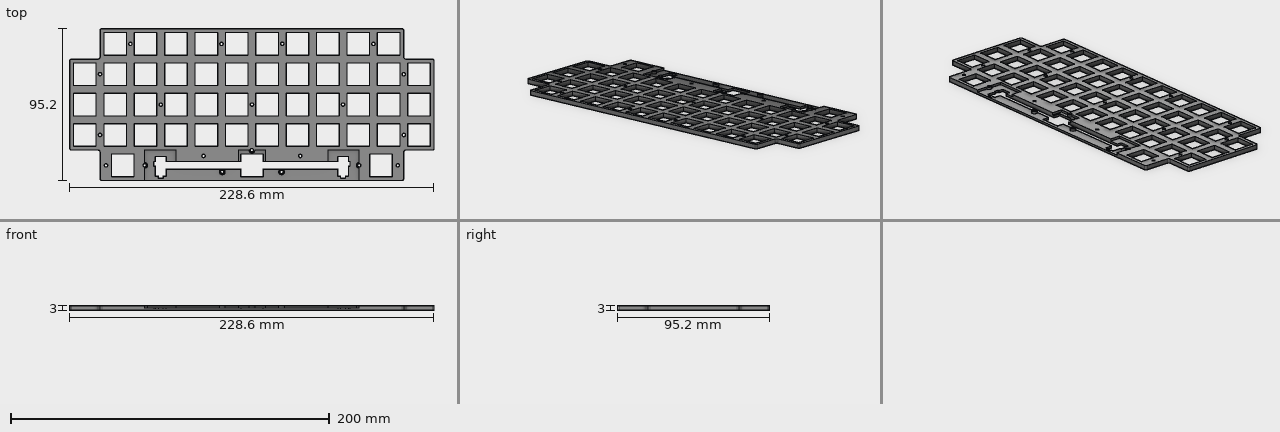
import cadquery as cq

KEY_PITCH = 19.05
PLATE_THICKNESS = 3.0
PLATE_COLUMNS = 12
NARROW_COLUMNS = 10
PLATE_ROWS = 5
WIDE_ROWS = 3
OUTER_CORNER_RADIUS = 1.2
INNER_CORNER_RADIUS = 1.3
EDGE_MARGIN = 0.1

PLATE_WIDTH = PLATE_COLUMNS * KEY_PITCH
NARROW_WIDTH = NARROW_COLUMNS * KEY_PITCH
PLATE_DEPTH = PLATE_ROWS * KEY_PITCH
WIDE_DEPTH = WIDE_ROWS * KEY_PITCH
FRONT_EDGE_Y = -PLATE_DEPTH / 2

SWITCH_SIZE = 14.0
SWITCH_ROWS = (2, 1, 0, -1)
BOTTOM_ROW_Y = -2 * KEY_PITCH
BOTTOM_SWITCH_X = 4.25 * KEY_PITCH

STABILIZER_X = 3 * KEY_PITCH
STABILIZER_WIDTH = 6.65
STABILIZER_TOP = 5.53
STABILIZER_BOTTOM = -6.77
FOOT_NOTCH_WIDTH = 3.05
FOOT_NOTCH_BOTTOM = -7.97
SIDE_NOTCH_REACH = 4.25
SIDE_NOTCH_BOTTOM = -0.5
WIRE_SLOT_TOP = 2.3
WIRE_SLOT_BOTTOM = -2.3

RECESS_FLOOR_Z = 1.5
RECESS_HALF_WIDTH = 67.25
RECESS_SIDE_INNER_X = 2.5 * KEY_PITCH
RECESS_BACK_Y = -1.5 * KEY_PITCH
RECESS_CENTER_HALF_WIDTH = 8.5

HOLE_DIAMETER = 2.0
BOSS_DIAMETER = 3.6
END_HOLE_X = 91.5
INNER_HOLE_X = 30.3
INNER_HOLE_Y = -32.2
FRONT_BOSS_X = 18.6
FRONT_BOSS_Y = BOTTOM_ROW_Y + WIRE_SLOT_BOTTOM - BOSS_DIAMETER / 2
BACK_BOSS_Y = RECESS_BACK_Y

GRID_HOLES = [(4, 2), (1, 2), (5, 1), (3, 0), (5, -1)]

BOSS_CENTERS = [
    (0, BACK_BOSS_Y),
    (-FRONT_BOSS_X, FRONT_BOSS_Y),
    (FRONT_BOSS_X, FRONT_BOSS_Y),
    (-RECESS_HALF_WIDTH, BOTTOM_ROW_Y),
    (RECESS_HALF_WIDTH, BOTTOM_ROW_Y),
]


def block(x_min, x_max, y_min, y_max, z_min=0.0):
    """Box between the given limits, reaching up to the top face."""
    size = (x_max - x_min, y_max - y_min, PLATE_THICKNESS - z_min)
    return cq.Workplane("XY").box(*size, centered=False).translate((x_min, y_min, z_min))


def cylinders(diameter, centers):
    """Upright cylinders through the full plate thickness."""
    return cq.Workplane("XY").pushPoints(centers).circle(diameter / 2).extrude(PLATE_THICKNESS)


def rounded_slab(width, depth):
    """Rectangular slab with rounded corners."""
    slab = cq.Workplane("XY").rect(width, depth).extrude(PLATE_THICKNESS)
    return slab.edges("|Z").fillet(OUTER_CORNER_RADIUS)


def plate_blank():
    """Cross-shaped plate with rounded outer corners and rounded inner corners where its arms meet."""
    cross = rounded_slab(PLATE_WIDTH, WIDE_DEPTH).union(rounded_slab(NARROW_WIDTH, PLATE_DEPTH))
    arm_corners = cq.selectors.BoxSelector(
        (-NARROW_WIDTH / 2 - EDGE_MARGIN, -WIDE_DEPTH / 2 - EDGE_MARGIN, 0),
        (NARROW_WIDTH / 2 + EDGE_MARGIN, WIDE_DEPTH / 2 + EDGE_MARGIN, PLATE_THICKNESS),
    )
    return cross.edges("|Z").edges(arm_corners).fillet(INNER_CORNER_RADIUS)


def switch_openings():
    """Square openings: four full rows, plus three in the bottom row."""
    centers = [(0, BOTTOM_ROW_Y), (-BOTTOM_SWITCH_X, BOTTOM_ROW_Y), (BOTTOM_SWITCH_X, BOTTOM_ROW_Y)]
    for row in SWITCH_ROWS:
        columns = PLATE_COLUMNS if abs(row) <= WIDE_ROWS // 2 else NARROW_COLUMNS
        for column in range(columns):
            x = (column - (columns - 1) / 2) * KEY_PITCH
            centers.append((x, row * KEY_PITCH))
    return cq.Workplane("XY").pushPoints(centers).rect(SWITCH_SIZE, SWITCH_SIZE).extrude(PLATE_THICKNESS)


def recess():
    """Shallow pocket along the wire slot, with three bays that reach further back."""
    slot_top_y = BOTTOM_ROW_Y + WIRE_SLOT_TOP
    floor_z = RECESS_FLOOR_Z
    pocket = block(-RECESS_HALF_WIDTH, RECESS_HALF_WIDTH, FRONT_EDGE_Y, slot_top_y, floor_z)
    back_bays = [
        (-RECESS_HALF_WIDTH, -RECESS_SIDE_INNER_X),
        (-RECESS_CENTER_HALF_WIDTH, RECESS_CENTER_HALF_WIDTH),
        (RECESS_SIDE_INNER_X, RECESS_HALF_WIDTH),
    ]
    for x_min, x_max in back_bays:
        pocket = pocket.union(block(x_min, x_max, slot_top_y, RECESS_BACK_Y, floor_z))
    return pocket


def stabilizer_opening():
    """Wire slot joining two stabilizer housings, each with a foot notch and side notches."""
    def row_block(center_x, half_width, bottom, top):
        return block(
            center_x - half_width, center_x + half_width, BOTTOM_ROW_Y + bottom, BOTTOM_ROW_Y + top
        )

    opening = row_block(0, STABILIZER_X, WIRE_SLOT_BOTTOM, WIRE_SLOT_TOP)
    for x in (-STABILIZER_X, STABILIZER_X):
        housing = row_block(x, STABILIZER_WIDTH / 2, STABILIZER_BOTTOM, STABILIZER_TOP)
        foot_notch = row_block(x, FOOT_NOTCH_WIDTH / 2, FOOT_NOTCH_BOTTOM, STABILIZER_BOTTOM)
        side_notches = row_block(x, SIDE_NOTCH_REACH, SIDE_NOTCH_BOTTOM, WIRE_SLOT_TOP)
        opening = opening.union(housing).union(foot_notch).union(side_notches)
    return opening


def screw_hole_centers():
    centers = [(0, 0)] + BOSS_CENTERS
    for side in (-1, 1):
        for column, row in GRID_HOLES:
            centers.append((side * column * KEY_PITCH, row * KEY_PITCH))
        centers.append((side * INNER_HOLE_X, INNER_HOLE_Y))
        centers.append((side * END_HOLE_X, BOTTOM_ROW_Y))
    return centers


plate = plate_blank().cut(recess())
plate = plate.union(cylinders(BOSS_DIAMETER, BOSS_CENTERS))
plate = plate.cut(switch_openings()).cut(stabilizer_opening())
result = plate.cut(cylinders(HOLE_DIAMETER, screw_hole_centers()))